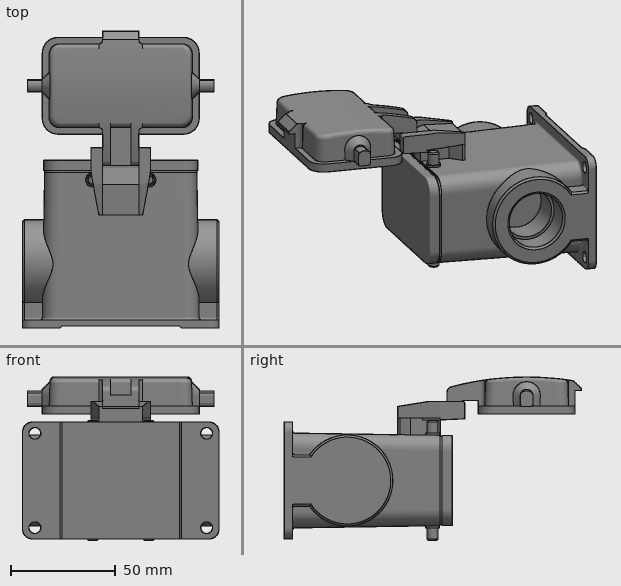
import cadquery as cq
import math


FLANGE_WIDTH = 94.0
FLANGE_HEIGHT = 56.0
FLANGE_THICKNESS = 4.0
FLANGE_CORNER = 5.0
SCREW_HOLE_DIAMETER = 5.5
SCREW_SPACING_X = 82.0
SCREW_SPACING_Z = 45.0
RELIEF_WIDTH = 56.2
RELIEF_DEPTH = 1.0

HOUSING_FRONT_WIDTH = 75.0
HOUSING_FRONT_HEIGHT = 45.4
HOUSING_DRAFT = 0.9
HOUSING_CORNER = 7.5
FOOT_FILLET = 1.0
HOUSING_END = 80.3
GROOVE_START = 74.3
GROOVE_WIDTH = 1.1
GROOVE_DEPTH = 0.5
LIP_WIDTH = 73.6
LIP_HEIGHT = 43.1
LIP_EDGE_FILLET = 0.4

ENTRY_Y = 30.1
ENTRY_RADIUS = 21.75
ENTRY_EDGE_CHAMFER = 1.0
WEB_HEIGHT = 24.6
BORE_RADIUS = 13.4
BORE_DEPTH = 14.0
BORE_CHAMFER = 1.0
INNER_BORE_RADIUS = 12.1
INNER_BORE_DEPTH = 30.0

PIN_X = 13.35
PIN_Y = 70.8
PIN_RADIUS = 2.7
PIN_TIP_Z = 28.65
PIN_TIP_CHAMFER = 0.7
PIN_COLLAR_RADIUS = 3.4
PIN_COLLAR_TOP = 22.6

BRACKET_HALF_WIDTH = 14.25
BRACKET_FRONT_HALF_WIDTH = 10.5
BRACKET_FRONT = 54.1
BRACKET_REAR = 86.2
BRACKET_TAPER_START = 74.4
BRACKET_TOP = 37.8
BRACKET_TOP_END = 69.0
BRACKET_FRONT_TOP = 35.4
BRACKET_BOTTOM = 29.8
BRACKET_ARM_BOTTOM = 28.9
BRACKET_REAR_BOTTOM = 29.4
BRACKET_REAR_FILLET = 1.0
RIDGE_FRONT = 66.0
CHANNEL_FRONT_FLOOR = 34.5
CHANNEL_CREST = 35.3
CHANNEL_CREST_Y = 68.6
CHANNEL_REAR_FLOOR = 33.0
CHANNEL_REAR_FLOOR_START = 76.4
PLATE_THICKNESS = 1.2
BLOCK_HALF_WIDTH = 5.1
BLOCK_BEVEL_END = 60.4
BLOCK_REAR = 74.6

LID_Y = 115.75
LID_WIDTH = 75.0
LID_LENGTH = 46.3
LID_CORNER = 7.6
LID_BOTTOM = 31.65
RIM_THICKNESS = 4.05
DOME_WIDTH = 68.4
DOME_LENGTH = 40.0
DOME_CORNER = 5.0
DOME_DRAFT = 2.0
DOME_EDGE_FILLET = 2.0
ROOT_FLARE = 1.9
CROWN_Z = 49.48
CROWN_RADIUS = 140.0
RIM_TOP = LID_BOTTOM + RIM_THICKNESS

TONGUE_WIDTH = 17.2
TONGUE_END = 77.7
TONGUE_BOTTOM = 38.1
TONGUE_END_FILLET = 2.7
KNUCKLE_REAR = 85.2
POCKET_WIDTH = 9.9
POCKET_FLOOR = 40.9
HOOK_TIP_Y = 141.82
HOOK_TIP_TOP = 44.1
HOOK_BOTTOM = 42.9
HOOK_SLOPE_INSET = 1.0

PEG_AXIS_Z = 40.45
PEG_END_X = 44.6
PEG_HALF_WIDTH = 3.05
PEG_TOP = 42.85
PEG_SHOULDER_TOP = 41.9
PEG_BOTTOM = 35.4
PEG_BEVEL_HEIGHT = 1.45
PEG_BEVEL_DEPTH = 0.45
BOSS_BASE_RADIUS = 6.35
BOSS_END_RADIUS = 3.1
BOSS_END_X = LID_WIDTH / 2
PEG_EMBED = 1.0

PICK_MARGIN = 0.1


def rounded_prism(width, height, corner, start_y, end_y, draft=0.0):
    """Prism along +Y with rounded corners, centred on X = 0 and Z = 0."""
    prism = cq.Workplane("XZ", origin=(0, start_y, 0)).rect(width, height)
    prism = prism.extrude(start_y - end_y, taper=draft)
    corners = cq.selectors.BoxSelector(
        (-width, start_y + PICK_MARGIN, -height), (width, end_y - PICK_MARGIN, height)
    )
    return prism.edges(corners).fillet(corner)


def side_profile(half_width):
    """Workplane for a Y-Z outline extruded 2 * half_width towards +X."""
    return cq.Workplane("YZ", origin=(-half_width, 0, 0))


def both_sides(shape):
    """The shape together with its mirror image across X = 0."""
    return shape.union(shape.mirror("YZ"))


def crown_height(y):
    """Height of the lid's crowned top at a given Y."""
    return CROWN_Z - CROWN_RADIUS + math.sqrt(CROWN_RADIUS**2 - (y - LID_Y) ** 2)


def make_flange():
    """Mounting flange with four screw holes and a shallow relief across its face."""
    flange = rounded_prism(FLANGE_WIDTH, FLANGE_HEIGHT, FLANGE_CORNER, 0, FLANGE_THICKNESS)
    holes = (
        cq.Workplane("XZ")
        .rarray(SCREW_SPACING_X, SCREW_SPACING_Z, 2, 2)
        .circle(SCREW_HOLE_DIAMETER / 2)
        .extrude(-FLANGE_THICKNESS)
    )
    relief = (
        cq.Workplane("XY", origin=(0, 0, -FLANGE_HEIGHT / 2))
        .moveTo(-RELIEF_WIDTH / 2 - RELIEF_DEPTH, 0)
        .lineTo(-RELIEF_WIDTH / 2, RELIEF_DEPTH)
        .lineTo(RELIEF_WIDTH / 2, RELIEF_DEPTH)
        .lineTo(RELIEF_WIDTH / 2 + RELIEF_DEPTH, 0)
        .close()
        .extrude(FLANGE_HEIGHT)
    )
    return flange.cut(holes).cut(relief)


def make_housing():
    """Flange and drafted housing body, ending in a groove and a lip."""
    body = rounded_prism(
        HOUSING_FRONT_WIDTH,
        HOUSING_FRONT_HEIGHT,
        HOUSING_CORNER,
        FLANGE_THICKNESS,
        GROOVE_START,
        HOUSING_DRAFT,
    )
    neck = rounded_prism(
        LIP_WIDTH - 2 * GROOVE_DEPTH,
        LIP_HEIGHT - 2 * GROOVE_DEPTH,
        HOUSING_CORNER - GROOVE_DEPTH,
        FLANGE_THICKNESS,
        HOUSING_END,
    )
    lip = rounded_prism(LIP_WIDTH, LIP_HEIGHT, HOUSING_CORNER, GROOVE_START + GROOVE_WIDTH, HOUSING_END)
    lip = lip.faces(">Y").edges().fillet(LIP_EDGE_FILLET)
    housing = make_flange().union(body)
    foot_x = HOUSING_FRONT_WIDTH / 2 + PICK_MARGIN
    foot_z = HOUSING_FRONT_HEIGHT / 2 + PICK_MARGIN
    foot = cq.selectors.BoxSelector(
        (-foot_x, FLANGE_THICKNESS - PICK_MARGIN, -foot_z),
        (foot_x, FLANGE_THICKNESS + PICK_MARGIN, foot_z),
        boundingbox=True,
    )
    housing = housing.edges(foot).fillet(FOOT_FILLET)
    return housing.union(neck).union(lip)


def make_entries():
    """Barrels and webs that run across the housing, ending flush with the flange."""
    half = FLANGE_WIDTH / 2
    web_top = WEB_HEIGHT / 2
    barrel_start = ENTRY_Y - math.sqrt(ENTRY_RADIUS**2 - web_top**2)
    web_start = FLANGE_THICKNESS + FOOT_FILLET
    foot_top = web_top + FOOT_FILLET
    entries = (
        side_profile(half)
        .moveTo(RELIEF_DEPTH, -foot_top)
        .lineTo(FLANGE_THICKNESS, -foot_top)
        .radiusArc((web_start, -web_top), FOOT_FILLET)
        .lineTo(barrel_start, -web_top)
        .threePointArc((ENTRY_Y + ENTRY_RADIUS, 0), (barrel_start, web_top))
        .lineTo(web_start, web_top)
        .radiusArc((FLANGE_THICKNESS, foot_top), FOOT_FILLET)
        .lineTo(RELIEF_DEPTH, foot_top)
        .close()
        .extrude(FLANGE_WIDTH)
    )
    outer_edges = cq.selectors.BoxSelector(
        (-half - 1, web_start + PICK_MARGIN, -half), (half + 1, FLANGE_WIDTH, half)
    )
    return entries.faces("<X or >X").edges(outer_edges).chamfer(ENTRY_EDGE_CHAMFER)


def make_bore():
    """Stepped blind bore with a chamfered mouth in the -X cable entry."""
    mouth = cq.Workplane("YZ", origin=(-FLANGE_WIDTH / 2, ENTRY_Y, 0))
    inner = mouth.circle(INNER_BORE_RADIUS).extrude(INNER_BORE_DEPTH)
    outer = mouth.circle(BORE_RADIUS).extrude(BORE_DEPTH)
    chamfer = cq.Workplane(
        cq.Solid.makeCone(
            BORE_RADIUS + BORE_CHAMFER,
            BORE_RADIUS,
            BORE_CHAMFER,
            pnt=cq.Vector(-FLANGE_WIDTH / 2, ENTRY_Y, 0),
            dir=cq.Vector(1, 0, 0),
        )
    )
    return inner.union(outer).union(chamfer)


def make_pins():
    """Two locking pins through the housing, standing on collars above and below."""
    pin_spots = [(-PIN_X, PIN_Y), (PIN_X, PIN_Y)]
    pins = (
        cq.Workplane("XY", origin=(0, 0, -PIN_TIP_Z))
        .pushPoints(pin_spots)
        .circle(PIN_RADIUS)
        .extrude(2 * PIN_TIP_Z)
        .faces("<Z or >Z")
        .chamfer(PIN_TIP_CHAMFER)
    )
    collars = (
        cq.Workplane("XY", origin=(0, 0, -PIN_COLLAR_TOP))
        .pushPoints(pin_spots)
        .circle(PIN_COLLAR_RADIUS)
        .extrude(2 * PIN_COLLAR_TOP)
    )
    return pins.union(collars)


def make_bracket():
    """Hinge bracket: two arms around a channel, carried by a front plate and a bevelled block."""
    outline = (
        side_profile(BRACKET_HALF_WIDTH)
        .moveTo(BRACKET_FRONT, BRACKET_BOTTOM)
        .lineTo(BRACKET_FRONT, BRACKET_FRONT_TOP)
        .lineTo(BRACKET_TOP_END, BRACKET_TOP)
        .lineTo(BRACKET_REAR, BRACKET_TOP)
        .lineTo(BRACKET_REAR, BRACKET_REAR_BOTTOM)
        .lineTo(BRACKET_TAPER_START, BRACKET_ARM_BOTTOM)
        .lineTo(BRACKET_TAPER_START, BRACKET_BOTTOM)
        .close()
        .extrude(2 * BRACKET_HALF_WIDTH)
        .edges(cq.selectors.NearestToPointSelector((0, BRACKET_REAR, BRACKET_TOP)))
        .fillet(BRACKET_REAR_FILLET)
    )
    plan = (
        cq.Workplane("XY")
        .moveTo(-BRACKET_FRONT_HALF_WIDTH, BRACKET_FRONT)
        .lineTo(BRACKET_FRONT_HALF_WIDTH, BRACKET_FRONT)
        .lineTo(BRACKET_HALF_WIDTH, BRACKET_TAPER_START)
        .lineTo(BRACKET_HALF_WIDTH, BRACKET_REAR)
        .lineTo(-BRACKET_HALF_WIDTH, BRACKET_REAR)
        .lineTo(-BRACKET_HALF_WIDTH, BRACKET_TAPER_START)
        .close()
        .extrude(BRACKET_TOP)
    )
    channel = (
        side_profile(TONGUE_WIDTH / 2)
        .moveTo(BRACKET_FRONT, BRACKET_TOP)
        .lineTo(BRACKET_FRONT, CHANNEL_FRONT_FLOOR)
        .lineTo(CHANNEL_CREST_Y, CHANNEL_CREST)
        .lineTo(CHANNEL_REAR_FLOOR_START, CHANNEL_REAR_FLOOR)
        .lineTo(TONGUE_END, CHANNEL_REAR_FLOOR)
        .lineTo(TONGUE_END, 0)
        .lineTo(BRACKET_REAR, 0)
        .lineTo(BRACKET_REAR, BRACKET_TOP)
        .close()
        .extrude(TONGUE_WIDTH)
    )
    support = (
        cq.Workplane("XY")
        .moveTo(-BRACKET_FRONT_HALF_WIDTH, BRACKET_FRONT)
        .lineTo(BRACKET_FRONT_HALF_WIDTH, BRACKET_FRONT)
        .lineTo(BRACKET_FRONT_HALF_WIDTH, BRACKET_FRONT + PLATE_THICKNESS)
        .lineTo(BLOCK_HALF_WIDTH, BLOCK_BEVEL_END)
        .lineTo(BLOCK_HALF_WIDTH, BLOCK_REAR)
        .lineTo(-BLOCK_HALF_WIDTH, BLOCK_REAR)
        .lineTo(-BLOCK_HALF_WIDTH, BLOCK_BEVEL_END)
        .lineTo(-BRACKET_FRONT_HALF_WIDTH, BRACKET_FRONT + PLATE_THICKNESS)
        .close()
        .extrude(BRACKET_BOTTOM)
    )
    ridge = (
        side_profile(BRACKET_FRONT_HALF_WIDTH)
        .moveTo(RIDGE_FRONT, BRACKET_ARM_BOTTOM)
        .lineTo(RIDGE_FRONT, BRACKET_BOTTOM)
        .lineTo(BRACKET_TAPER_START, BRACKET_BOTTOM)
        .lineTo(BRACKET_TAPER_START, BRACKET_ARM_BOTTOM)
        .close()
        .extrude(2 * BRACKET_FRONT_HALF_WIDTH)
    )
    return outline.intersect(plan).cut(channel).union(ridge).union(support)


def under_crown(shape):
    """Trim a shape to the crowned top surface of the lid."""
    crown = (
        cq.Workplane("YZ", origin=(-FLANGE_WIDTH / 2, LID_Y, CROWN_Z - CROWN_RADIUS))
        .circle(CROWN_RADIUS)
        .extrude(FLANGE_WIDTH)
    )
    return shape.intersect(crown)


def make_lid():
    """Flat rim with a drafted, crowned dome."""
    rim = (
        cq.Workplane("XY", origin=(0, LID_Y, LID_BOTTOM))
        .rect(LID_WIDTH, LID_LENGTH)
        .extrude(RIM_THICKNESS)
        .edges("|Z")
        .fillet(LID_CORNER)
    )
    dome = (
        cq.Workplane("XY", origin=(0, LID_Y, RIM_TOP))
        .rect(DOME_WIDTH, DOME_LENGTH)
        .extrude(CROWN_Z - RIM_TOP + 1, taper=DOME_DRAFT)
        .edges("not(#Z)")
        .fillet(DOME_CORNER)
    )
    dome = under_crown(dome).faces(">Z").edges().fillet(DOME_EDGE_FILLET)
    return rim.union(dome)


def make_root_flares():
    """Concave flares where the sides of the tongue and the hook block run into the dome walls."""
    side_x = TONGUE_WIDTH / 2
    flare_x = side_x + ROOT_FLARE
    wall_y = DOME_LENGTH / 2
    flare = (
        cq.Workplane("XY", origin=(0, LID_Y, RIM_TOP))
        .moveTo(side_x, wall_y + ROOT_FLARE)
        .radiusArc((flare_x, wall_y), -ROOT_FLARE)
        .lineTo(flare_x, wall_y - DOME_EDGE_FILLET - ROOT_FLARE)
        .lineTo(side_x, wall_y - DOME_EDGE_FILLET - ROOT_FLARE)
        .close()
        .extrude(CROWN_Z - RIM_TOP)
    )
    flares = both_sides(flare)
    return under_crown(flares.union(flares.mirror("XZ", (0, LID_Y, 0))))


def make_tongue():
    """Two-walled tongue from the lid to the bracket, with the knuckle between the bracket arms."""
    rim_front = LID_Y - LID_LENGTH / 2
    profile = (
        side_profile(TONGUE_WIDTH / 2)
        .moveTo(TONGUE_END, CHANNEL_REAR_FLOOR)
        .lineTo(TONGUE_END, CROWN_Z)
        .lineTo(LID_Y, CROWN_Z)
        .lineTo(LID_Y, RIM_TOP)
        .lineTo(rim_front, RIM_TOP)
        .lineTo(rim_front, TONGUE_BOTTOM)
        .lineTo(KNUCKLE_REAR, TONGUE_BOTTOM)
        .lineTo(KNUCKLE_REAR, CHANNEL_REAR_FLOOR)
        .close()
        .extrude(TONGUE_WIDTH)
    )
    tongue = under_crown(profile)
    end_edge = cq.selectors.NearestToPointSelector((0, TONGUE_END, crown_height(TONGUE_END)))
    tongue = tongue.edges(end_edge).fillet(TONGUE_END_FILLET)
    pocket = cq.Workplane("XY", origin=(0, TONGUE_END, POCKET_FLOOR)).box(
        POCKET_WIDTH, LID_Y - TONGUE_END, CROWN_Z, centered=(True, False, False)
    )
    return tongue.cut(pocket)


def make_hook():
    """Block behind the dome with an overhanging latch hook."""
    block_rear = LID_Y + LID_LENGTH / 2
    slope_start = block_rear - HOOK_SLOPE_INSET
    hook = (
        side_profile(TONGUE_WIDTH / 2)
        .moveTo(LID_Y, RIM_TOP)
        .lineTo(LID_Y, CROWN_Z)
        .lineTo(slope_start, CROWN_Z)
        .lineTo(slope_start, crown_height(slope_start))
        .lineTo(HOOK_TIP_Y, HOOK_TIP_TOP)
        .lineTo(HOOK_TIP_Y, HOOK_BOTTOM)
        .lineTo(block_rear, HOOK_BOTTOM)
        .lineTo(block_rear, RIM_TOP)
        .close()
        .extrude(TONGUE_WIDTH)
    )
    return under_crown(hook)


def arch_plane(x):
    """Y-Z workplane at a given X, centred on the peg axis."""
    return cq.Workplane("YZ", origin=(x, LID_Y, PEG_AXIS_Z))


def arch(plane, radius, foot):
    """Round-topped outline standing on a foot below the peg axis."""
    return (
        plane.moveTo(-radius, -foot)
        .lineTo(-radius, 0)
        .threePointArc((0, radius), (radius, 0))
        .lineTo(radius, -foot)
        .close()
    )


def make_pegs():
    """Side pegs with bevelled edges and a rounded top, each on a flared boss."""
    dome_side = DOME_WIDTH / 2
    base_x = dome_side - PEG_EMBED
    boss_foot = PEG_AXIS_Z - RIM_TOP
    slope = (BOSS_BASE_RADIUS - BOSS_END_RADIUS) / (BOSS_END_X - dome_side)
    root_radius = BOSS_BASE_RADIUS + slope * PEG_EMBED
    boss = arch(arch_plane(base_x), root_radius, boss_foot)
    boss = arch(boss.workplane(offset=BOSS_END_X - base_x), BOSS_END_RADIUS, boss_foot).loft(ruled=True)

    narrow = PEG_HALF_WIDTH - PEG_BEVEL_DEPTH
    bottom = PEG_BOTTOM - PEG_AXIS_Z
    shoulder = PEG_SHOULDER_TOP - PEG_AXIS_Z
    peg = (
        arch_plane(base_x)
        .moveTo(-narrow, bottom)
        .lineTo(-PEG_HALF_WIDTH, bottom + PEG_BEVEL_HEIGHT)
        .lineTo(-PEG_HALF_WIDTH, shoulder - PEG_BEVEL_HEIGHT)
        .lineTo(-narrow, shoulder)
        .threePointArc((0, PEG_TOP - PEG_AXIS_Z), (narrow, shoulder))
        .lineTo(PEG_HALF_WIDTH, shoulder - PEG_BEVEL_HEIGHT)
        .lineTo(PEG_HALF_WIDTH, bottom + PEG_BEVEL_HEIGHT)
        .lineTo(narrow, bottom)
        .close()
        .extrude(PEG_END_X - base_x)
    )
    return both_sides(boss.union(peg))


housing = make_housing().union(make_entries()).cut(make_bore()).union(make_pins())
lid = make_lid().union(make_pegs()).union(make_hook()).union(make_tongue()).union(make_root_flares())
result = housing.union(make_bracket()).union(lid)